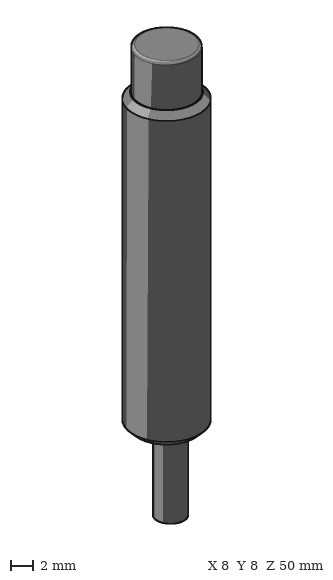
import cadquery as cq

total_length = 50.0
cable_length = 10.0
head_length = 5.0
body_length = total_length - cable_length - head_length

body_diameter = 8.0
head_diameter = 6.4
cable_diameter = 3.2
cable_offset = 1.25

body_chamfer = 0.7
head_fillet = 0.3


def make_body():
    body = cq.Workplane("XY").workplane(offset=cable_length).circle(body_diameter / 2).extrude(body_length)
    return body.faces("<Z or >Z").edges().chamfer(body_chamfer)


def make_head():
    head_base = cable_length + body_length
    head = cq.Workplane("XY").workplane(offset=head_base).circle(head_diameter / 2).extrude(head_length)
    return head.faces(">Z").edges().fillet(head_fillet)


def make_cable():
    return cq.Workplane("XY").center(0, cable_offset).circle(cable_diameter / 2).extrude(cable_length)


result = make_body().union(make_head()).union(make_cable())